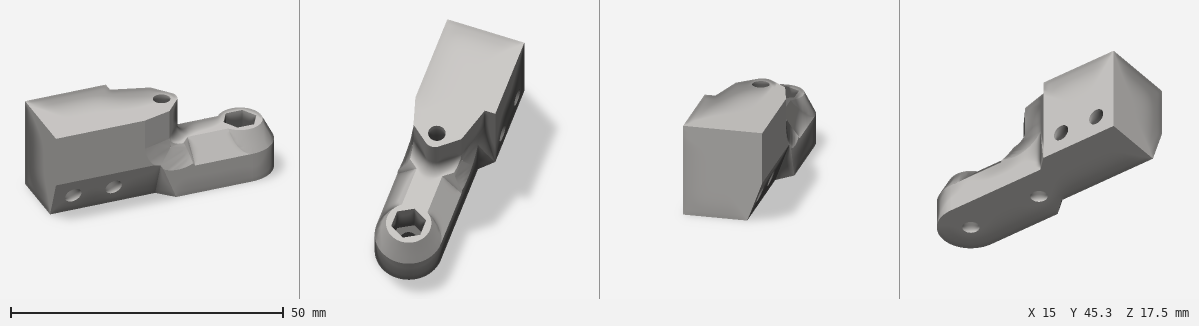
import cadquery as cq
import math

total_length = 45.25
total_width = 15.0
total_height = 17.5

arm_half_width = 6.25
arm_height = 9.9
arm_shoulder_height = 5.85
ring_top_radius = 4.15
ring_y = total_length - arm_half_width
neck_half_width = 2.5
neck_end_y = 27.6

block_left_x = arm_half_width - total_width
block_length = 16.0
corner_x = 4.65
corner_y = 23.15
nose_foot_x = 6.7
nose_radius = 2.0
nose_tip_y = 26.45
nose_y = nose_tip_y - nose_radius
nose_fillet = 2.0
fillet_top = arm_height + nose_fillet

hollow_axis_z = 12.35
hollow_inner_x = 4.25
hollow_inner_y = 27.05
hollow_inner_radius = 2.55
hollow_side_y = 24.2
hollow_side_radius = 6.65
hollow_outer_y = 25.97
hollow_outer_z = 13.5
hollow_outer_radius = 16.9

relief_height = 7.65
relief_depth = 2.85
relief_straight_y = 20.8
relief_tip_y = 23.8
relief_tip_scale = 0.01

hole_diameter = 3.2
pivot_hole_y = 23.5
hex_diameter = 6.5
hex_depth = 6.0
cross_hole_z = 4.0
cross_hole_ys = (4.0, 12.0)

corner_distance = math.hypot(corner_x, nose_y - corner_y)
corner_angle = math.atan2(nose_y - corner_y, corner_x)
tangent_angle = math.acos(nose_radius / corner_distance) - corner_angle
tangent_x = nose_radius * math.cos(tangent_angle)
tangent_y = nose_y + nose_radius * math.sin(tangent_angle)
flank_length = math.hypot(corner_x - tangent_x, tangent_y - corner_y)


def mirrored_pair(shape):
    """Return the shape joined with its mirror image across the arm's centre plane."""
    return shape.union(shape.mirror("YZ"))


def make_arm():
    straight = cq.Workplane("XY").box(2 * arm_half_width, ring_y, arm_height, centered=(True, False, False))
    round_end = (
        cq.Workplane("XZ", origin=(0, ring_y, 0))
        .polyline([
            (0, 0),
            (arm_half_width, 0),
            (arm_half_width, arm_shoulder_height),
            (ring_top_radius, arm_height),
            (0, arm_height),
        ])
        .close()
        .revolve(360, (0, 0), (0, 1))
    )
    return straight.cut(mirrored_pair(make_neck_bevel())).union(round_end)


def make_neck_bevel():
    """Waste beside the neck; its rear end is skewed to run parallel to the nose flank."""
    section = (
        cq.Workplane("XZ", origin=(0, neck_end_y, 0))
        .polyline([
            (neck_half_width, arm_height),
            (arm_half_width, arm_shoulder_height),
            (arm_half_width, arm_height),
        ])
        .close()
    )
    straight = section.extrude(neck_end_y - total_length)
    skew = cq.Vector(corner_x - tangent_x, corner_y - tangent_y, 0)
    skewed_end = cq.Solid.extrudeLinear(section.wires().val(), [], skew)
    return straight.union(cq.Workplane(skewed_end))


def make_root():
    """Raised stock beside the nose, with a 45 degree web up to the block's left side."""
    web_y = block_length - arm_half_width - block_left_x
    return (
        cq.Workplane("XY")
        .polyline([
            (block_left_x, block_length),
            (-arm_half_width, web_y),
            (-arm_half_width, corner_y),
            (arm_half_width, corner_y),
            (arm_half_width, block_length),
        ])
        .close()
        .extrude(fillet_top)
    )


def fillet_section(plane):
    """Concave fillet profile standing on the arm top, outside the nose wall."""
    wall = nose_radius
    foot = nose_radius + nose_fillet
    bulge = nose_fillet * (1 - math.sqrt(0.5))
    return (
        cq.Workplane(plane)
        .moveTo(0, arm_height)
        .lineTo(foot, arm_height)
        .threePointArc((wall + bulge, arm_height + bulge), (wall, fillet_top))
        .lineTo(0, fillet_top)
        .close()
    )


def make_nose_fillet():
    tip_plane = cq.Plane(origin=(0, nose_y, 0), xDir=(1, 0, 0), normal=(0, -1, 0))
    tip = fillet_section(tip_plane).revolve(360, (0, 0), (0, 1))
    outward = (math.cos(tangent_angle), math.sin(tangent_angle), 0)
    along = (math.sin(tangent_angle), -math.cos(tangent_angle), 0)
    flank_plane = cq.Plane(origin=(0, nose_y, 0), xDir=outward, normal=along)
    flank = fillet_section(flank_plane).extrude(flank_length)
    return tip.union(mirrored_pair(flank))


def make_hollow():
    """Flared conical hollow, from the end of the nose fillet out through the arm's side."""

    def ring(x, y, z, radius):
        return cq.Wire.makeCircle(radius, cq.Vector(x, y, z), cq.Vector(1, 0, 0))

    inner = ring(hollow_inner_x, hollow_inner_y, hollow_axis_z, hollow_inner_radius)
    side = ring(arm_half_width, hollow_side_y, hollow_axis_z, hollow_side_radius)
    outer = ring(-block_left_x, hollow_outer_y, hollow_outer_z, hollow_outer_radius)
    return cq.Workplane(cq.Solid.makeLoft([inner, side, outer], True))


def make_block():
    flank_slope = (corner_y - block_length) / (nose_foot_x - corner_x)
    right_y = corner_y - flank_slope * (arm_half_width - corner_x)
    return (
        cq.Workplane("XY")
        .moveTo(block_left_x, 0)
        .lineTo(arm_half_width, 0)
        .lineTo(arm_half_width, right_y)
        .lineTo(corner_x, corner_y)
        .lineTo(tangent_x, tangent_y)
        .threePointArc((0, nose_tip_y), (-tangent_x, tangent_y))
        .lineTo(-corner_x, corner_y)
        .lineTo(-nose_foot_x, block_length)
        .lineTo(block_left_x, block_length)
        .close()
        .extrude(total_height)
    )


def make_relief():
    """Triangular groove along the lower right edge, closed in front by a sloping end."""

    def triangle(y, scale):
        return cq.Wire.makePolygon(
            [
                cq.Vector(arm_half_width, y, 0),
                cq.Vector(arm_half_width - scale * relief_depth, y, 0),
                cq.Vector(arm_half_width, y, scale * relief_height),
            ],
            close=True,
        )

    full = triangle(relief_straight_y, 1)
    groove = cq.Solid.makeLoft([triangle(0, 1), full], True)
    sloping_end = cq.Solid.makeLoft([full, triangle(relief_tip_y, relief_tip_scale)], True)
    return cq.Workplane(groove).union(cq.Workplane(sloping_end))


def make_holes():
    upright_centres = [(0, ring_y), (0, pivot_hole_y)]
    upright = cq.Workplane("XY").pushPoints(upright_centres).circle(hole_diameter / 2).extrude(total_height)
    nut_pocket = (
        cq.Workplane("XY", origin=(0, ring_y, arm_height - hex_depth))
        .transformed(rotate=(0, 0, 90))
        .polygon(6, hex_diameter)
        .extrude(hex_depth)
    )
    cross = (
        cq.Workplane("YZ", origin=(block_left_x, 0, 0))
        .pushPoints([(y, cross_hole_z) for y in cross_hole_ys])
        .circle(hole_diameter / 2)
        .extrude(total_width)
    )
    return upright.union(nut_pocket).union(cross)


body = make_arm().union(make_root()).union(make_nose_fillet())
body = body.cut(mirrored_pair(make_hollow()))
result = body.union(make_block()).cut(make_relief()).cut(make_holes())